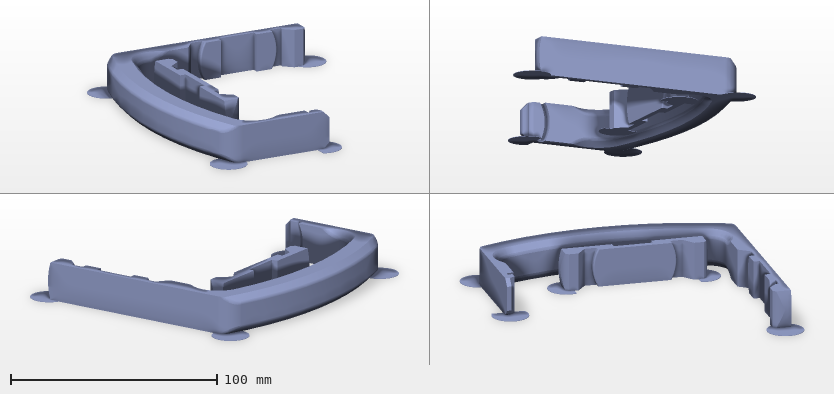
import cadquery as cq
import math

WIDTH = 145.0
DEPTH = 130.8
HEIGHT = 19.0

OUTER_HALF_WIDTH = 64.4
BOW_RADIUS = 172.6
BOW_DEPTH = 14.8
CORNER_RADIUS = 10.0
CHAMFER = 3.3
CHAMFER_BLEND = 2.0

SPINE_THICKNESS = 3.0
PAD_THICKNESS = 6.1
BLOCK_THICKNESS = 8.8
STRAP_HALF_LENGTH = 37.0
STRAP_CROWN = 1.5
BLOCK_NOSE_RADIUS = 6.8
BLOCK_NOSE_START = 3.2
BLOCK_SHOULDER = 29.2
BLOCK_FOOT = 24.7
PAD_HALF_LENGTH = 21.0
PAD_CROWN = 2.5
PAD_CORNER_RADIUS = 0.7
GAP_HALF_LENGTH = 9.9

CLASP_X = -9.0
CLASP_Y = 29.5
LEFT_ARM_Y = 82.7
ARM_FOOT_STEP = 1.6

RIGHT_ARM_THICKNESS = 6.2
RIGHT_STEP_Y = 56.9
RIGHT_TIP_THICKNESS = 5.1
RIGHT_TIP_Y = 64.0
TIP_CHAMFER_X = 2.3
TIP_CHAMFER_Y = 1.5
TONGUE_THICKNESS = 2.3
TONGUE_LENGTH = 3.3
DETENT_DEPTH = 2.3
DETENT_WIDTH = 2.2

DISC_DIAMETER = 18.4
DISC_THICKNESS = 0.2
CORNER_DISC_X = (WIDTH - DISC_DIAMETER) / 2
CORNER_DISC_Y = 12.3
LEFT_DISC = (-60.6, DEPTH - DISC_DIAMETER / 2)
RIGHT_DISC = (62.1, 64.8)
RIGHT_DISC_FLAT = 4.2
CLASP_DISC_OFFSET = 34.2
CLASP_DISC_Y = 33.8
CLASP_DISC_FLAT = 2.9

INNER_RADIUS = BOW_RADIUS - BOW_DEPTH
LEFT_WALL_X = BLOCK_THICKNESS - OUTER_HALF_WIDTH
RIGHT_WALL_X = OUTER_HALF_WIDTH - RIGHT_ARM_THICKNESS
ROUND_CENTRE_REACH = INNER_RADIUS - CORNER_RADIUS


def box(x_range, y_range, z_range=(0, HEIGHT)):
    """Box between the given limits."""
    size = [high - low for low, high in (x_range, y_range, z_range)]
    return cq.Workplane("XY").box(*size, centered=False).translate((x_range[0], y_range[0], z_range[0]))


def edged_round(radius, flare, angle=360):
    """Solid of revolution about Z whose rim changes by `flare` over 45 degree slopes at top and bottom."""
    slope = abs(flare)
    return (
        cq.Workplane("XZ")
        .polyline(
            [
                (0, 0),
                (radius + flare, 0),
                (radius, slope),
                (radius, HEIGHT - slope),
                (radius + flare, HEIGHT),
                (0, HEIGHT),
            ]
        )
        .close()
        .revolve(angle, (0, 0, 0), (0, 1, 0))
    )


def crowned_slab(half_length, crown, thickness):
    """Slab along X, from y = 0, whose two ends bulge outwards at mid height."""
    edge = half_length - crown
    return (
        cq.Workplane("XZ")
        .moveTo(-edge, 0)
        .lineTo(edge, 0)
        .threePointArc((half_length, HEIGHT / 2), (edge, HEIGHT))
        .lineTo(-edge, HEIGHT)
        .threePointArc((-half_length, HEIGHT / 2), (-edge, 0))
        .close()
        .extrude(-thickness)
    )


def end_block(foot_step=0):
    """Thick block at the -X end of a strap: round nose outside, slope inside."""
    nose_x = BLOCK_NOSE_RADIUS - STRAP_HALF_LENGTH
    nose_end = math.asin((BLOCK_THICKNESS - BLOCK_NOSE_START) / BLOCK_NOSE_RADIUS)

    def nose_point(angle):
        return (
            nose_x - BLOCK_NOSE_RADIUS * math.cos(angle),
            BLOCK_NOSE_START + BLOCK_NOSE_RADIUS * math.sin(angle),
        )

    return (
        cq.Workplane("XY")
        .moveTo(-STRAP_HALF_LENGTH, 0)
        .lineTo(*nose_point(0))
        .threePointArc(nose_point(nose_end / 2), nose_point(nose_end))
        .lineTo(-BLOCK_SHOULDER, BLOCK_THICKNESS)
        .lineTo(-BLOCK_FOOT, SPINE_THICKNESS + foot_step)
        .lineTo(-BLOCK_FOOT, 0)
        .close()
        .extrude(HEIGHT)
    )


def pad_bar():
    """Raised pad with crowned ends and rounded outer corners."""
    slab = crowned_slab(PAD_HALF_LENGTH, PAD_CROWN, PAD_THICKNESS)
    return slab.faces(">Y").edges("%CIRCLE").fillet(PAD_CORNER_RADIUS)


def strap(foot_step=0):
    """Spine with a block at each end, along X with its back on y = 0."""
    spine = box((-BLOCK_FOOT, BLOCK_FOOT), (0, SPINE_THICKNESS))
    blocks = end_block(foot_step).union(end_block().mirror("YZ"))
    crown = crowned_slab(STRAP_HALF_LENGTH, STRAP_CROWN, BLOCK_THICKNESS)
    return spine.union(blocks).intersect(crown)


def make_clasp():
    groove = box((-GAP_HALF_LENGTH, GAP_HALF_LENGTH), (0, SPINE_THICKNESS))
    body = strap().union(pad_bar()).cut(groove)
    return body.translate((CLASP_X, CLASP_Y, 0))


def outer_slab():
    """Bow and plain arm roots, solid across, with rounded and chamfered outer edges."""
    left_top = LEFT_ARM_Y - BLOCK_SHOULDER
    front_edge_y = BOW_RADIUS - math.sqrt(BOW_RADIUS**2 - OUTER_HALF_WIDTH**2)
    slab = (
        cq.Workplane("XY")
        .moveTo(-OUTER_HALF_WIDTH, left_top)
        .lineTo(-OUTER_HALF_WIDTH, front_edge_y)
        .threePointArc((0, 0), (OUTER_HALF_WIDTH, front_edge_y))
        .lineTo(OUTER_HALF_WIDTH, RIGHT_STEP_Y)
        .lineTo(RIGHT_WALL_X, RIGHT_STEP_Y)
        .lineTo(LEFT_WALL_X, left_top)
        .close()
        .extrude(HEIGHT)
    )
    corners = cq.selectors.BoxSelector(
        (-WIDTH / 2, front_edge_y - CORNER_RADIUS, 0), (WIDTH / 2, front_edge_y + CORNER_RADIUS, HEIGHT)
    )
    slab = slab.edges("|Z").edges(corners).fillet(CORNER_RADIUS)
    return slab.intersect(edged_round(BOW_RADIUS, -CHAMFER).translate((0, BOW_RADIUS, 0)))


def inner_space():
    """Space between the arms: a sector behind the bow, a round in each corner and the open middle."""
    left_x = LEFT_WALL_X + CORNER_RADIUS
    right_x = RIGHT_WALL_X - CORNER_RADIUS
    left_angle = math.degrees(math.asin(-left_x / ROUND_CENTRE_REACH))
    right_angle = math.degrees(math.asin(right_x / ROUND_CENTRE_REACH))

    sector = edged_round(INNER_RADIUS, CHAMFER, left_angle + right_angle)
    sector = sector.rotate((0, 0, 0), (0, 0, 1), -90 - left_angle)
    space = sector.translate((0, BOW_RADIUS, 0))

    for wall_x, round_x in ((LEFT_WALL_X, left_x), (RIGHT_WALL_X, right_x)):
        round_y = BOW_RADIUS - math.sqrt(ROUND_CENTRE_REACH**2 - round_x**2)
        space = space.union(edged_round(CORNER_RADIUS, CHAMFER).translate((round_x, round_y, 0)))
        middle = box((min(wall_x, 0), max(wall_x, 0)), (round_y, BOW_RADIUS))
        space = space.union(middle)
    return space


def make_bow():
    """Chamfered bow whose edges between chamfers and upright faces are rounded."""
    bow = outer_slab().cut(inner_space())
    between_flats = cq.selectors.BoxSelector(
        (-BOW_RADIUS, -BOW_RADIUS, CHAMFER / 4), (BOW_RADIUS, BOW_RADIUS, HEIGHT - CHAMFER / 4)
    )
    return bow.edges(between_flats).edges("not |Z").fillet(CHAMFER_BLEND)


def left_arm():
    """Strap with two pads, turned so that its pads face +X."""
    gap = box((-GAP_HALF_LENGTH, GAP_HALF_LENGTH), (SPINE_THICKNESS, PAD_THICKNESS))
    arm = strap(ARM_FOOT_STEP).union(pad_bar().cut(gap))
    return arm.rotate((0, 0, 0), (0, 0, 1), -90).translate((-OUTER_HALF_WIDTH, LEFT_ARM_Y, 0))


def right_tip():
    """Thin end of the right arm, with its chamfered corner and tongue."""
    inner_x = OUTER_HALF_WIDTH - RIGHT_TIP_THICKNESS
    tip = (
        cq.Workplane("XY")
        .moveTo(OUTER_HALF_WIDTH, RIGHT_STEP_Y)
        .lineTo(OUTER_HALF_WIDTH, RIGHT_TIP_Y)
        .lineTo(inner_x + TIP_CHAMFER_X, RIGHT_TIP_Y)
        .lineTo(inner_x, RIGHT_TIP_Y - TIP_CHAMFER_Y)
        .lineTo(inner_x, RIGHT_STEP_Y)
        .close()
        .extrude(HEIGHT)
    )
    tongue = (
        cq.Workplane("YZ", origin=(OUTER_HALF_WIDTH - TONGUE_THICKNESS, RIGHT_TIP_Y, 0))
        .polyline(
            [
                (0, 0),
                (TONGUE_LENGTH, TONGUE_LENGTH),
                (TONGUE_LENGTH, HEIGHT - TONGUE_LENGTH),
                (0, HEIGHT),
            ]
        )
        .close()
        .extrude(TONGUE_THICKNESS)
    )
    return tip.union(tongue)


def bowed_wall(y, x_start, thickness):
    """Everything between a wall at `y`, bowed towards -Y at mid height, and the end of the right arm."""
    return (
        cq.Workplane("YZ", origin=(x_start, 0, 0))
        .moveTo(RIGHT_TIP_Y, 0)
        .lineTo(y, 0)
        .threePointArc((y - PAD_CROWN, HEIGHT / 2), (y, HEIGHT))
        .lineTo(RIGHT_TIP_Y, HEIGHT)
        .close()
        .extrude(thickness)
    )


def detent():
    """Bowed step on the inner face of the right arm, with a groove of constant width along it."""
    tip_wall_x = OUTER_HALF_WIDTH - RIGHT_TIP_THICKNESS
    step = bowed_wall(RIGHT_STEP_Y, RIGHT_WALL_X, tip_wall_x - RIGHT_WALL_X)
    groove = bowed_wall(RIGHT_STEP_Y, tip_wall_x, DETENT_DEPTH)
    lug = bowed_wall(RIGHT_STEP_Y + DETENT_WIDTH, tip_wall_x, DETENT_DEPTH)
    return step.union(groove.cut(lug))


def make_frame():
    return make_bow().union(left_arm()).union(right_tip()).cut(detent())


def make_disc(centre, flat_angle=None, flat_distance=0):
    """Thin disc, optionally cut off by a flat that faces `flat_angle` degrees from +X."""
    disc = cq.Workplane("XY").circle(DISC_DIAMETER / 2).extrude(DISC_THICKNESS)
    if flat_angle is not None:
        kept = box((-DISC_DIAMETER, flat_distance), (-DISC_DIAMETER, DISC_DIAMETER), (0, DISC_THICKNESS))
        disc = disc.intersect(kept.rotate((0, 0, 0), (0, 0, 1), flat_angle))
    return disc.translate((centre[0], centre[1], 0))


clasp = make_clasp()
frame = make_frame()

plain_discs = [
    make_disc(centre)
    for centre in ((-CORNER_DISC_X, CORNER_DISC_Y), (CORNER_DISC_X, CORNER_DISC_Y), LEFT_DISC)
]
flat_discs = [
    make_disc(RIGHT_DISC, -90, RIGHT_DISC_FLAT),
    make_disc((CLASP_X - CLASP_DISC_OFFSET, CLASP_DISC_Y), 0, CLASP_DISC_FLAT),
    make_disc((CLASP_X + CLASP_DISC_OFFSET, CLASP_DISC_Y), 180, CLASP_DISC_FLAT),
]

discs = [disc.cut(frame).cut(clasp) for disc in plain_discs + flat_discs]

result = cq.Compound.makeCompound([frame.val(), clasp.val(), *[disc.val() for disc in discs]])